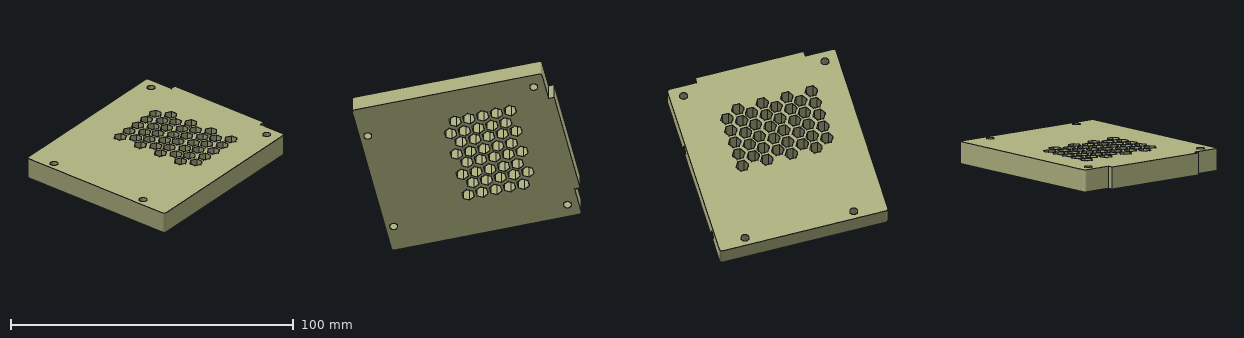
import cadquery as cq
import math

body_width = 62.0
total_length = 71.0
thickness = 8.0
corner_radius = 1.0
tab_width = 40.05
tab_depth = 2.0
body_length = total_length - tab_depth
front_y = -total_length / 2
rear_y = front_y + body_length

mount_diameter = 2.8
rear_mount_spacing = 52.0
rear_mount_inset = 4.05
front_mount_spacing = 40.0
front_mount_center_x = -1.0
front_mount_inset = 3.0

side_hole_diameter = 2.7
side_hole_depth = 4.0
side_hole_height = 3.4
side_hole_inset = 10.0
side_hole_spacing = 36.0

hex_flats = 4.0
hex_corners = hex_flats / math.cos(math.pi / 6)
vent_columns = 4
vent_rows = 5
vent_column_pitch = 9.0
vent_row_span = 20.0
vent_row_pitch = vent_row_span / (vent_rows - 1)
vent_first_x = -13.8
vent_first_y = -3.75
vent_shift_x = 4.75
vent_shift_y = 2.8


def make_plate():
    """Rounded rectangular plate with a square-cornered tab on the rear edge."""
    body = (
        cq.Workplane("XY")
        .center(0, front_y + body_length / 2)
        .rect(body_width, body_length)
        .extrude(thickness)
        .edges("|Z")
        .fillet(corner_radius)
    )
    overlapping_length = 2 * tab_depth
    tab = cq.Workplane("XY").center(0, rear_y).rect(tab_width, overlapping_length).extrude(thickness)
    return body.union(tab)


def mounting_holes():
    """Four through holes near the corners; the front pair sits off centre."""
    rear_row_y = rear_y - rear_mount_inset
    front_row_y = front_y + front_mount_inset
    points = []
    for side in (-1, 1):
        points.append((side * rear_mount_spacing / 2, rear_row_y))
        points.append((front_mount_center_x + side * front_mount_spacing / 2, front_row_y))
    return cq.Workplane("XY").pushPoints(points).circle(mount_diameter / 2).extrude(thickness)


def side_holes():
    """Two blind holes drilled in +X from the left side."""
    first_y = front_y + side_hole_inset
    points = [(first_y + i * side_hole_spacing, side_hole_height) for i in range(2)]
    return (
        cq.Workplane("YZ", origin=(-body_width / 2, 0, 0))
        .pushPoints(points)
        .circle(side_hole_diameter / 2)
        .extrude(side_hole_depth)
    )


def vent_holes():
    """Honeycomb of hexagonal through holes with corners pointing along X."""
    points = []
    for grid in range(2):
        for column in range(vent_columns):
            for row in range(vent_rows):
                x = vent_first_x + grid * vent_shift_x + column * vent_column_pitch
                y = vent_first_y + grid * vent_shift_y + row * vent_row_pitch
                points.append((x, y))
    return cq.Workplane("XY").pushPoints(points).polygon(6, hex_corners).extrude(thickness)


result = make_plate().cut(mounting_holes()).cut(side_holes()).cut(vent_holes())